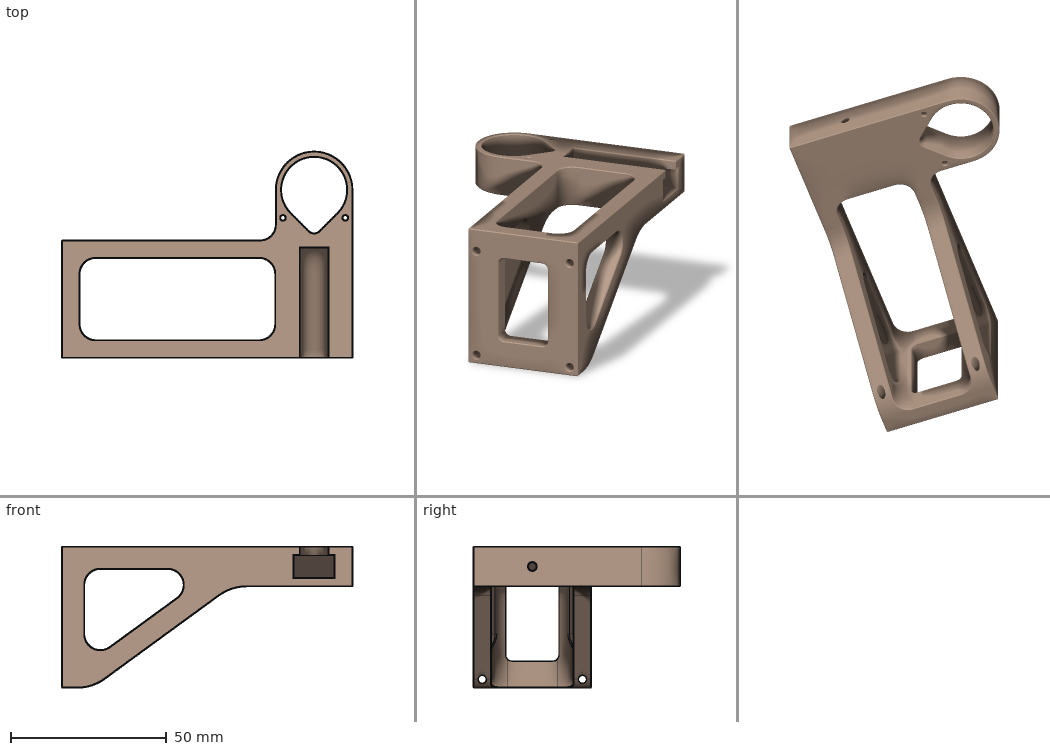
import cadquery as cq
import math

length = 93.5
height = 45.5
total_depth = 66.5
frame_depth = 38.0
slab_thickness = 13.0
slab_bottom = height - slab_thickness
slab_middle = height - slab_thickness / 2

foot_length = 9.9
brace_end = 54.5
bend_radius = 15.0

wall = 5.9
top_window_end = 68.4
triangle_border = 7.4
brace_width = 7.5
window_radius = 5.05
end_window_width = 17.0
end_window_border = 8.7
end_window_radius = 2.0

ring_radius = 12.4
ring_x = length - ring_radius
ring_y = total_depth - ring_radius
bore_radius = 10.5
bore_tip_radius = 2.3
inner_corner_radius = 4.9
ring_hole_diameter = 1.5
ring_hole_spacing = 20.0
ring_hole_y = 45.1

slot_width = 9.0
slot_end = 35.4
lip_thickness = 3.0
lip_overhang = 2.0
pocket_floor = height - 10.0

screw_diameter = 2.5
screw_side_inset = 2.9
screw_top_inset = 7.4
screw_bottom_inset = 2.8
screw_depth = 20.0

edge_bevel = 0.3

brace_angle = math.atan2(slab_bottom, brace_end - foot_length)


def make_frame():
    """Bracket with a horizontal slab, an upright end and a sloping underside."""
    profile = [
        (0, 0), (foot_length, 0), (brace_end, slab_bottom),
        (length, slab_bottom), (length, height), (0, height),
    ]
    body = cq.Workplane("XZ").polyline(profile).close().extrude(-frame_depth)
    for bend_x, bend_z in profile[1:3]:
        edge = cq.selectors.NearestToPointSelector((bend_x, frame_depth / 2, bend_z))
        body = body.edges(edge).fillet(bend_radius)
    return body


def make_ring_arm():
    """Round-ended arm that carries the ring, with a fillet into the frame."""
    left = ring_x - ring_radius
    slab = cq.Workplane("XY").workplane(offset=slab_bottom)
    arm = (
        slab.moveTo(left, 0).lineTo(length, 0).lineTo(length, ring_y)
        .threePointArc((ring_x, total_depth), (left, ring_y)).close().extrude(slab_thickness)
    )
    corner = (
        slab.moveTo(left, frame_depth).lineTo(left, frame_depth + inner_corner_radius)
        .radiusArc((left - inner_corner_radius, frame_depth), inner_corner_radius)
        .close().extrude(slab_thickness)
    )
    return arm.union(corner)


def make_top_window():
    """Rounded opening down through the whole frame."""
    return (
        cq.Workplane("XY")
        .box(top_window_end - wall, frame_depth - 2 * wall, height, centered=False)
        .edges("|Z").fillet(window_radius).translate((wall, wall, 0))
    )


def make_triangle_window():
    """Triangle through both side walls, with its slope parallel to the brace."""
    top = height - triangle_border
    slope = math.tan(brace_angle)
    slope_start = brace_width / math.cos(brace_angle) - foot_length * slope
    corners = [
        (triangle_border, slope_start + triangle_border * slope),
        ((top - slope_start) / slope, top),
        (triangle_border, top),
    ]
    return (
        cq.Workplane("XZ").polyline(corners).close().extrude(-frame_depth)
        .edges("|Y").fillet(window_radius)
    )


def make_end_window():
    """Rounded opening through the end plate and the corner rounds behind it."""
    return (
        cq.Workplane("XY")
        .box(2 * (wall + window_radius), end_window_width, height - 2 * end_window_border)
        .edges("|X").fillet(end_window_radius)
        .translate((0, frame_depth / 2, height / 2))
    )


def make_teardrop():
    """Ring bore with a rounded 90-degree point toward the frame."""
    tip_y = ring_y - (bore_radius - bore_tip_radius) * math.sqrt(2)
    diagonal = math.sqrt(0.5)
    bore_side = bore_radius * diagonal
    tip_side = bore_tip_radius * diagonal
    return (
        cq.Workplane("XY").workplane(offset=slab_bottom)
        .moveTo(ring_x + bore_side, ring_y - bore_side)
        .threePointArc((ring_x, ring_y + bore_radius), (ring_x - bore_side, ring_y - bore_side))
        .lineTo(ring_x - tip_side, tip_y - tip_side)
        .threePointArc((ring_x, tip_y - bore_tip_radius), (ring_x + tip_side, tip_y - tip_side))
        .close().extrude(slab_thickness)
    )


def make_ring_holes():
    """Small holes through the slab on both sides of the teardrop point."""
    half = ring_hole_spacing / 2
    return (
        cq.Workplane("XY").workplane(offset=slab_bottom)
        .pushPoints([(ring_x - half, ring_hole_y), (ring_x + half, ring_hole_y)])
        .circle(ring_hole_diameter / 2).extrude(slab_thickness)
    )


def make_t_slot():
    """Narrow slot in the top over a wider pocket that leaves lips on three sides."""
    pocket_width = slot_width + 2 * lip_overhang
    pocket_height = height - lip_thickness - pocket_floor
    centered_in_x = (True, False, False)
    pocket_end = slot_end + lip_overhang
    plane = cq.Workplane("XY")
    slot = plane.box(slot_width, slot_end, height - pocket_floor, centered=centered_in_x)
    pocket = plane.box(pocket_width, pocket_end, pocket_height, centered=centered_in_x)
    return slot.union(pocket).translate((ring_x, 0, pocket_floor))


def make_end_screw_holes():
    """Four holes running in from the corners of the end plate."""
    points = [
        (y, z)
        for y in (screw_side_inset, frame_depth - screw_side_inset)
        for z in (screw_bottom_inset, height - screw_top_inset)
    ]
    return cq.Workplane("YZ").pushPoints(points).circle(screw_diameter / 2).extrude(screw_depth)


def make_clamp_hole():
    """Cross hole from the pocket out through the +X side."""
    return (
        cq.Workplane("YZ").workplane(offset=ring_x)
        .center(frame_depth / 2, slab_middle)
        .circle(screw_diameter / 2).extrude(length - ring_x)
    )


def edges_on_plane(body, axis, position):
    """Edges of the flat faces that lie in the plane at this position on the X, Y or Z axis."""
    tolerance = 0.01
    low = [-tolerance] * 3
    high = [length + tolerance, total_depth + tolerance, height + tolerance]
    low["XYZ".index(axis)] = position - tolerance
    high["XYZ".index(axis)] = position + tolerance
    return body.faces(cq.selectors.BoxSelector(low, high, boundingbox=True)).edges()


def bevel_edges(body):
    """Bevel the outlines and openings of the outer faces and the inner wall faces."""
    planes = [
        ("X", 0), ("X", length),
        ("Y", 0), ("Y", frame_depth),
        ("Y", wall), ("Y", frame_depth - wall),
        ("Z", height), ("Z", slab_bottom),
    ]
    sharp_edges = body.newObject([])
    for axis, position in planes:
        sharp_edges = sharp_edges.add(edges_on_plane(body, axis, position))
    return sharp_edges.chamfer(edge_bevel)


body = make_frame().union(make_ring_arm())
for cutter in (
    make_top_window(),
    make_triangle_window(),
    make_end_window(),
    make_teardrop(),
    make_ring_holes(),
    make_t_slot(),
    make_end_screw_holes(),
    make_clamp_hole(),
):
    body = body.cut(cutter)

result = bevel_edges(body)